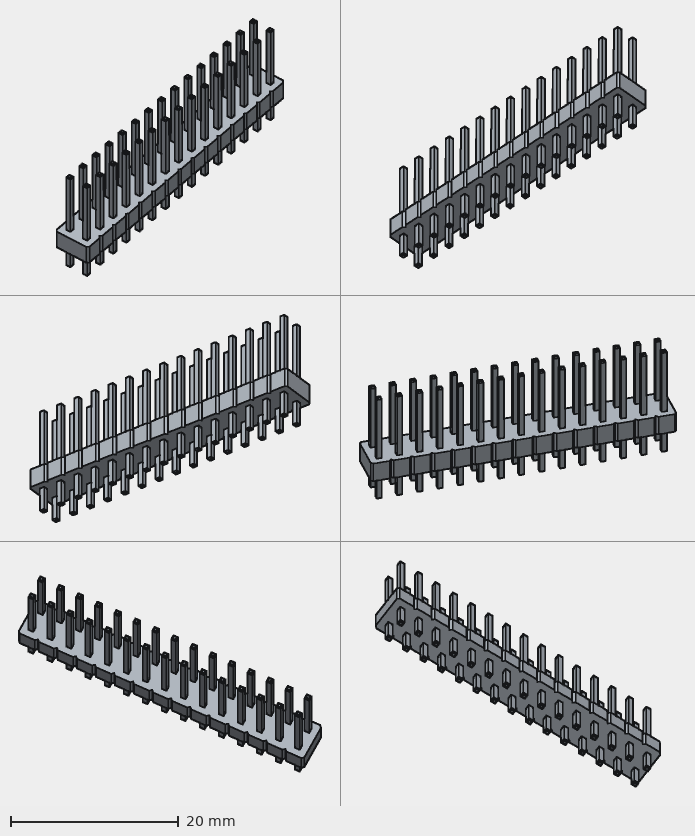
import cadquery as cq

length = 38.1
row_count = 15
column_count = 2
pitch = length / row_count

strip_width = 5.0
strip_height = 2.5
corner_cut = 0.25

pin_width = 0.65
pin_length = 14.3
pin_drop = 3.28
tip_chamfer = 0.15


def make_segment(row_y):
    """One pitch of the strip; its cut corners form the V notches between neighbours."""
    return (
        cq.Workplane("XY")
        .center(0, row_y)
        .rect(strip_width, pitch)
        .extrude(strip_height)
        .edges("|Z")
        .chamfer(corner_cut)
    )


def make_pin(x, y):
    """A square pin with all four edges bevelled at both tips."""
    return (
        cq.Workplane("XY", origin=(x, y, -pin_drop))
        .rect(pin_width, pin_width)
        .extrude(pin_length)
        .faces("<Z or >Z")
        .chamfer(tip_chamfer)
    )


row_positions = [(row - (row_count - 1) / 2) * pitch for row in range(row_count)]
column_positions = [(column - (column_count - 1) / 2) * pitch for column in range(column_count)]

result = cq.Workplane("XY")
for y in row_positions:
    result = result.union(make_segment(y))
for y in row_positions:
    for x in column_positions:
        result = result.union(make_pin(x, y))